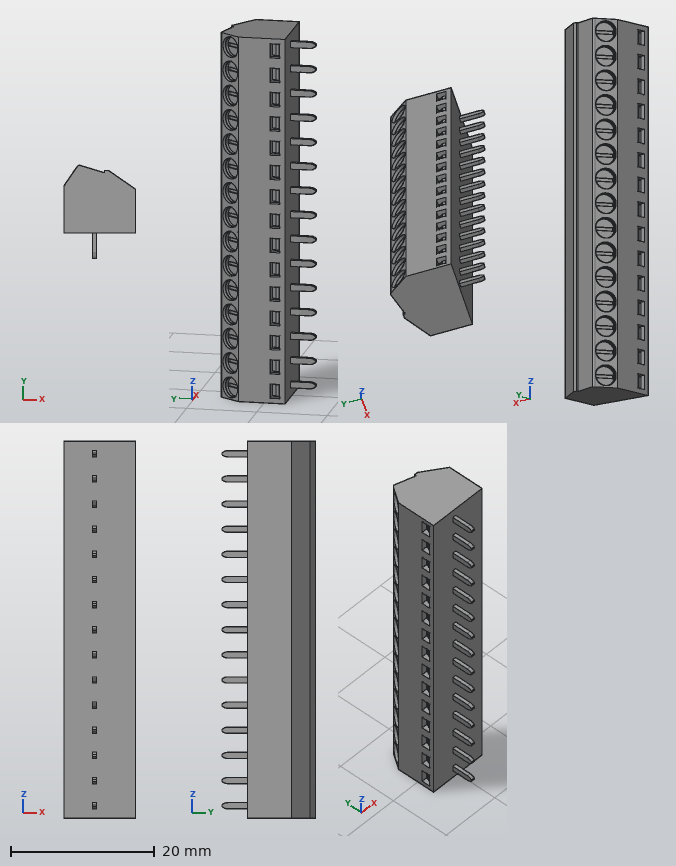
import cadquery as cq
import math

pole_count = 15
row_length = 52.5
pitch = row_length / pole_count
pole_heights = [(i + 0.5) * pitch for i in range(pole_count)]
body_width = 10.0
body_height = 9.5

screw_face_bottom = 6.6
screw_face_top = 9.3
screw_face_run = 1.85
ridge_x = 2.1
step_x = 5.6
step_bottom = 8.45
step_top = 8.75
step_land = 0.6
right_wall_height = 6.15

mouth_diameter = 2.95
mouth_depth = 0.45
screw_diameter = 2.8
screw_recess_depth = 0.9
slot_width = 0.45
slot_length = 2.5
slot_depth = 0.25

pocket_bottom = 0.8
pocket_top = 2.15
pocket_length = 2.05
pocket_depth = 0.85
button_gap = 0.2
button_height = 0.3
button_ramp_length = 0.5

pin_x = 4.25
pin_thickness = 0.6
pin_width = 0.9
pin_length = 3.5
pin_tip_length = 0.8
pin_tip_width = 0.25
pin_embed = 0.5


def make_housing():
    """Solid housing of constant section along Z."""
    outline = [
        (0, 0),
        (body_width, 0),
        (body_width, right_wall_height),
        (step_x + step_land, step_top),
        (step_x, step_top),
        (step_x, step_bottom),
        (ridge_x, body_height),
        (screw_face_run, screw_face_top),
        (0, screw_face_bottom),
    ]
    return cq.Workplane("XY").polyline(outline).close().extrude(row_length)


def make_screw_recess(z):
    """Stepped round recess with a screwdriver slot in its floor."""
    rise = screw_face_top - screw_face_bottom
    face_length = math.hypot(screw_face_run, rise)
    outward = cq.Vector(-rise / face_length, screw_face_run / face_length, 0)
    up_slope = cq.Vector(screw_face_run, rise, 0)
    face_center = cq.Vector(screw_face_run / 2, screw_face_bottom + rise / 2, z)
    face = cq.Workplane(cq.Plane(face_center, up_slope, outward))
    mouth = face.circle(mouth_diameter / 2).extrude(-mouth_depth)
    bore = face.circle(screw_diameter / 2).extrude(-screw_recess_depth)
    slot = face.rect(slot_length, slot_width).extrude(-screw_recess_depth - slot_depth)
    return mouth.union(bore).union(slot)


def make_pocket(z):
    """Rectangular pocket that leaves a button standing on its floor, ramped on the +Y side."""
    button_bottom = pocket_bottom + button_gap
    button_top = pocket_top - button_gap
    button_length = pocket_length - 2 * button_gap
    button_face_x = pocket_depth - button_height
    button_outline = [
        (pocket_depth, button_bottom),
        (button_face_x, button_bottom),
        (button_face_x, button_top - button_ramp_length),
        (pocket_depth, button_top),
    ]
    button = (
        cq.Workplane("XY")
        .polyline(button_outline)
        .close()
        .extrude(button_length / 2, both=True)
    )
    pocket = cq.Workplane("XY").box(
        pocket_depth, pocket_top - pocket_bottom, pocket_length, centered=(False, False, True)
    )
    pocket = pocket.translate((0, pocket_bottom, 0)).cut(button)
    return pocket.translate((0, 0, z))


def make_pin(z):
    """Flat pin, rooted in the housing, whose narrow sides curve in to a blunt tip."""
    half_width = pin_width / 2
    half_tip_width = pin_tip_width / 2
    shoulder_y = pin_tip_length - pin_length
    pin = (
        cq.Workplane("YZ")
        .moveTo(pin_embed, 0)
        .lineTo(pin_embed, half_width)
        .lineTo(shoulder_y, half_width)
        .tangentArcPoint((-pin_length, half_tip_width), relative=False)
        .lineTo(-pin_length, 0)
        .mirrorX()
        .extrude(pin_thickness / 2, both=True)
    )
    return pin.translate((pin_x, 0, z))


result = make_housing()
for pole_z in pole_heights:
    result = result.cut(make_screw_recess(pole_z))
    result = result.cut(make_pocket(pole_z))
    result = result.union(make_pin(pole_z))